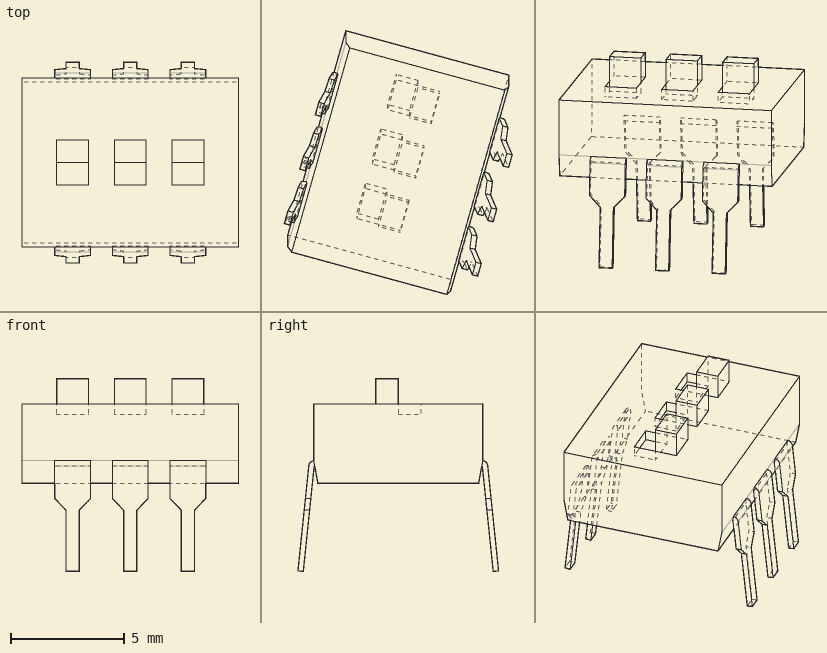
import cadquery as cq
import math

HOUSING_LENGTH = 9.55
HOUSING_DEPTH = 7.46
HOUSING_HEIGHT = 3.5
TAPER_HEIGHT = 1.0
TAPER_INSET = 0.18

SWITCH_COUNT = 3
SWITCH_PITCH = 2.54

SLIDER_WIDTH = 1.4
SLIDER_DEPTH = 0.99
SLIDER_HEIGHT = 1.12
WINDOW_DEPTH = 2 * SLIDER_DEPTH
WINDOW_RECESS = 0.46

LEAD_THICKNESS = 0.25
LEAD_WIDTH = 1.59
LEAD_TIP_WIDTH = 0.59
LEAD_SPLAY = 5.9
LEAD_TIP_Z = -3.89
LEAD_SPAN = 8.85
LEAD_TIP_Y = LEAD_SPAN / 2
BEND_INNER_RADIUS = 0.01
SHOULDER_TOP_Z = -0.67
SHOULDER_BOTTOM_Z = -1.18
LEAD_EMBED = 0.29

switch_places = [
    (index - (SWITCH_COUNT - 1) / 2) * SWITCH_PITCH for index in range(SWITCH_COUNT)
]


def make_housing():
    """Block whose front and back walls lean inward below the parting line."""
    half_depth = HOUSING_DEPTH / 2
    half_base = half_depth - TAPER_INSET
    profile = [
        (-half_base, 0),
        (half_base, 0),
        (half_depth, TAPER_HEIGHT),
        (half_depth, HOUSING_HEIGHT),
        (-half_depth, HOUSING_HEIGHT),
        (-half_depth, TAPER_HEIGHT),
    ]
    return cq.Workplane("YZ").polyline(profile).close().extrude(HOUSING_LENGTH / 2, both=True)


def make_window(x):
    """Recess for one slider, cut down from the top face."""
    return (
        cq.Workplane("XY")
        .box(SLIDER_WIDTH, WINDOW_DEPTH, WINDOW_RECESS, centered=(True, True, False))
        .translate((x, 0, HOUSING_HEIGHT - WINDOW_RECESS))
    )


def make_slider(x):
    """Slider rising from the window floor, pushed to the front."""
    return (
        cq.Workplane("XY")
        .box(SLIDER_WIDTH, SLIDER_DEPTH, WINDOW_RECESS + SLIDER_HEIGHT, centered=(True, True, False))
        .translate((x, -SLIDER_DEPTH / 2, HOUSING_HEIGHT - WINDOW_RECESS))
    )


def make_lead_strip():
    """Back lead at full width: a flat root bent down into a splayed leg."""
    splay = math.radians(LEAD_SPLAY)
    across_y = LEAD_THICKNESS * math.cos(splay)
    across_z = LEAD_THICKNESS * math.sin(splay)

    tip_inner = (LEAD_TIP_Y - across_y, LEAD_TIP_Z)
    tip_outer = (LEAD_TIP_Y, LEAD_TIP_Z + across_z)

    outer_radius = BEND_INNER_RADIUS + LEAD_THICKNESS
    centre_z = TAPER_HEIGHT - outer_radius
    leg_drop = centre_z + outer_radius * math.sin(splay) - tip_outer[1]
    centre_y = LEAD_TIP_Y - leg_drop * math.tan(splay) - outer_radius * math.cos(splay)

    def bend_point(radius, angle):
        return (centre_y + radius * math.cos(angle), centre_z + radius * math.sin(angle))

    flat = math.pi / 2
    middle = (flat + splay) / 2
    root_y = HOUSING_DEPTH / 2 - LEAD_EMBED
    return (
        cq.Workplane("YZ")
        .moveTo(root_y, centre_z + BEND_INNER_RADIUS)
        .lineTo(*bend_point(BEND_INNER_RADIUS, flat))
        .threePointArc(bend_point(BEND_INNER_RADIUS, middle), bend_point(BEND_INNER_RADIUS, splay))
        .lineTo(*tip_inner)
        .lineTo(*tip_outer)
        .lineTo(*bend_point(outer_radius, splay))
        .threePointArc(bend_point(outer_radius, middle), bend_point(outer_radius, flat))
        .lineTo(root_y, TAPER_HEIGHT)
        .close()
        .extrude(LEAD_WIDTH / 2, both=True)
    )


def make_lead_outline():
    """Front outline of a lead: wide shoulders narrowing to the tip."""
    half_width = LEAD_WIDTH / 2
    half_tip = LEAD_TIP_WIDTH / 2
    outline = [
        (-half_width, TAPER_HEIGHT),
        (-half_width, SHOULDER_TOP_Z),
        (-half_tip, SHOULDER_BOTTOM_Z),
        (-half_tip, LEAD_TIP_Z),
        (half_tip, LEAD_TIP_Z),
        (half_tip, SHOULDER_BOTTOM_Z),
        (half_width, SHOULDER_TOP_Z),
        (half_width, TAPER_HEIGHT),
    ]
    return cq.Workplane("XZ").polyline(outline).close().extrude(HOUSING_DEPTH, both=True)


result = make_housing()
back_lead = make_lead_strip().intersect(make_lead_outline())
front_lead = back_lead.mirror("XZ")

for place in switch_places:
    result = result.cut(make_window(place)).union(make_slider(place))
    for lead in (back_lead, front_lead):
        result = result.union(lead.translate((place, 0, 0)))